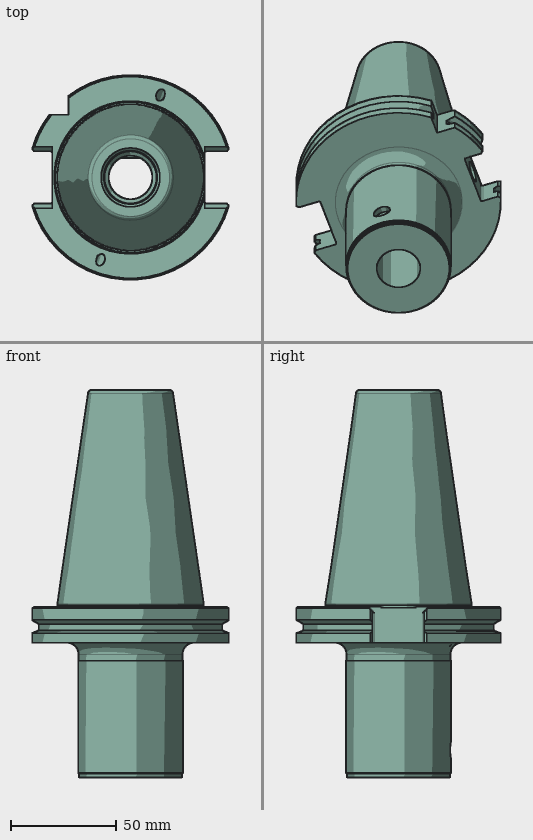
import cadquery as cq
import math

TOTAL_HEIGHT = 184.6
SHANK_DIAMETER = 50.0
SHANK_RADIUS = SHANK_DIAMETER / 2
SHANK_TOP = 55.7
SHANK_STEP = 0.46
SHANK_STEP_HEIGHT = 2.4
SHANK_END_CHAMFER = 0.4
NECK_STEP = 0.2
NECK_RADIUS = SHANK_RADIUS - NECK_STEP
NECK_FILLET = 5.4

FLANGE_RADIUS = 48.7
FLANGE_BOTTOM = 64.2
FLANGE_TOP = 81.5
FLANGE_TOP_CHAMFER = 0.7
GROOVE_ROOT_RADIUS = 45.5
GROOVE_BOTTOM = 68.9
GROOVE_ROOT_BOTTOM = 70.3
GROOVE_FLANK_RADIUS = 46.2
GROOVE_ROOT_BEVEL = 0.5
GROOVE_ROOT_TOP = 73.1
GROOVE_TOP = 75.1

TAPER_BASE = 82.9
TAPER_BASE_RADIUS = 34.9
TAPER_SLOPE = 7 / 24 / 2
TAPER_TIP_FILLET = 1.8
UNDERCUT_TOP = 82.1
UNDERCUT_RADIUS = 34.5
RELIEF_RADIUS = 36.4
RELIEF_DEPTH = 0.5

BORE_RADIUS = 10.3
COUNTERBORE_RADIUS = 12.7
COUNTERBORE_DEPTH = 11.5
COUNTERBORE_CHAMFER = 1.3
COUNTERBORE_STEP_RADIUS = 12.4
COUNTERBORE_STEP_DEPTH = 8.5
FLOOR_CONE_ANGLE = 30.0

SLOT_HALF_WIDTH = 12.4
SLOT_LEFT_FLOOR = 37.3
SLOT_RIGHT_FLOOR = 35.3
SLOT_TOP_CHAMFER = 2.2
SLOT_SIDE_CHAMFER = 1.1
SLOT_FLOOR_FILLET = 0.7

NOTCH_X = 29.5
NOTCH_Y = 29.9

CHIP_RADIUS = 5.0
CHIP_DEPTH = 5.0
CHIP_HEIGHT = 72.2
CHIP_PILOT_RADIUS = 0.7
CHIP_PILOT_DEPTH = 1.8

DUCT_RADIUS = 2.0
DUCT_MOUTH_RADIUS = 41.7
DUCT_ANGLE = 70.0
DUCT_SLOPE = 45.0

SCREW_RADIUS = 4.0
SCREW_HEIGHT = 13.3
SCREW_TIP = 9.2
SCREW_HEAD = 22.2


def make_turned_body():
    """Shank, neck, flange and taper as one revolved outline, without its bore."""
    end_radius = SHANK_RADIUS - SHANK_STEP
    tip_radius = TAPER_BASE_RADIUS - (TOTAL_HEIGHT - TAPER_BASE) * TAPER_SLOPE
    outline = (
        cq.Workplane("XZ")
        .moveTo(0, 0)
        .lineTo(end_radius - SHANK_END_CHAMFER, 0)
        .lineTo(end_radius, SHANK_END_CHAMFER)
        .lineTo(end_radius, SHANK_STEP_HEIGHT - SHANK_STEP)
        .lineTo(SHANK_RADIUS, SHANK_STEP_HEIGHT)
        .lineTo(SHANK_RADIUS, SHANK_TOP)
        .lineTo(NECK_RADIUS, SHANK_TOP)
        .lineTo(NECK_RADIUS, FLANGE_BOTTOM - NECK_FILLET)
        .radiusArc((NECK_RADIUS + NECK_FILLET, FLANGE_BOTTOM), NECK_FILLET)
        .lineTo(FLANGE_RADIUS, FLANGE_BOTTOM)
        .lineTo(FLANGE_RADIUS, GROOVE_BOTTOM)
        .lineTo(GROOVE_FLANK_RADIUS, GROOVE_ROOT_BOTTOM - GROOVE_ROOT_BEVEL)
        .lineTo(GROOVE_ROOT_RADIUS, GROOVE_ROOT_BOTTOM)
        .lineTo(GROOVE_ROOT_RADIUS, GROOVE_ROOT_TOP)
        .lineTo(GROOVE_FLANK_RADIUS, GROOVE_ROOT_TOP + GROOVE_ROOT_BEVEL)
        .lineTo(FLANGE_RADIUS, GROOVE_TOP)
        .lineTo(FLANGE_RADIUS, FLANGE_TOP - FLANGE_TOP_CHAMFER)
        .lineTo(FLANGE_RADIUS - FLANGE_TOP_CHAMFER, FLANGE_TOP)
        .lineTo(RELIEF_RADIUS, FLANGE_TOP)
        .lineTo(RELIEF_RADIUS - RELIEF_DEPTH, FLANGE_TOP - RELIEF_DEPTH)
        .lineTo(UNDERCUT_RADIUS, FLANGE_TOP - RELIEF_DEPTH)
        .lineTo(UNDERCUT_RADIUS, UNDERCUT_TOP)
        .lineTo(TAPER_BASE_RADIUS, UNDERCUT_TOP)
        .lineTo(TAPER_BASE_RADIUS, TAPER_BASE)
        .lineTo(tip_radius, TOTAL_HEIGHT)
        .lineTo(0, TOTAL_HEIGHT)
        .close()
    )
    body = outline.revolve(360, (0, 0, 0), (0, 1, 0))
    return body.faces(">Z").edges().fillet(TAPER_TIP_FILLET)


def make_axial_bore():
    """Through bore with a stepped, cone-bottomed counterbore at the taper tip."""
    floor = TOTAL_HEIGHT - COUNTERBORE_DEPTH
    cone_height = (COUNTERBORE_STEP_RADIUS - BORE_RADIUS) * math.tan(math.radians(FLOOR_CONE_ANGLE))
    return (
        cq.Workplane("XZ")
        .moveTo(0, 0)
        .lineTo(BORE_RADIUS, 0)
        .lineTo(BORE_RADIUS, floor - cone_height)
        .lineTo(COUNTERBORE_STEP_RADIUS, floor)
        .lineTo(COUNTERBORE_STEP_RADIUS, TOTAL_HEIGHT - COUNTERBORE_STEP_DEPTH)
        .lineTo(COUNTERBORE_RADIUS, TOTAL_HEIGHT - COUNTERBORE_STEP_DEPTH)
        .lineTo(COUNTERBORE_RADIUS, TOTAL_HEIGHT - COUNTERBORE_CHAMFER)
        .lineTo(COUNTERBORE_RADIUS + COUNTERBORE_CHAMFER, TOTAL_HEIGHT)
        .lineTo(0, TOTAL_HEIGHT)
        .close()
        .revolve(360, (0, 0, 0), (0, 1, 0))
    )


def make_drive_slot(side, floor):
    """Slot cutter on the side given by side = -1 or +1, with flared top and outer edges."""
    height = FLANGE_TOP - FLANGE_BOTTOM
    mid_x = side * (floor + FLANGE_RADIUS) / 2
    slot = (
        cq.Workplane("XY", origin=(mid_x, 0, FLANGE_BOTTOM))
        .rect(FLANGE_RADIUS - floor, 2 * SLOT_HALF_WIDTH)
        .extrude(height)
        .edges("|Z")
        .edges("<X" if side > 0 else ">X")
        .fillet(SLOT_FLOOR_FILLET)
    )
    flare_width = SLOT_HALF_WIDTH + SLOT_TOP_CHAMFER
    top_flare = (
        cq.Workplane("YZ", origin=(side * floor, 0, 0))
        .moveTo(-flare_width, FLANGE_TOP)
        .lineTo(flare_width, FLANGE_TOP)
        .lineTo(0, FLANGE_TOP - flare_width)
        .close()
        .extrude(side * (FLANGE_RADIUS - floor))
    )
    corner_y = SLOT_HALF_WIDTH + SLOT_SIDE_CHAMFER
    corner_x = math.sqrt(FLANGE_RADIUS**2 - corner_y**2)
    side_flare = (
        cq.Workplane("XY", origin=(0, 0, FLANGE_BOTTOM))
        .moveTo(side * corner_x, -corner_y)
        .lineTo(side * FLANGE_RADIUS, -corner_y)
        .lineTo(side * FLANGE_RADIUS, corner_y)
        .lineTo(side * corner_x, corner_y)
        .lineTo(side * (corner_x - SLOT_SIDE_CHAMFER), SLOT_HALF_WIDTH)
        .lineTo(side * (corner_x - SLOT_SIDE_CHAMFER), -SLOT_HALF_WIDTH)
        .close()
        .extrude(height)
    )
    return slot.union(top_flare).union(side_flare)


def make_orientation_notch():
    return (
        cq.Workplane("XY", origin=(0, 0, FLANGE_BOTTOM))
        .moveTo(-NOTCH_X, NOTCH_Y)
        .lineTo(-NOTCH_X, FLANGE_RADIUS)
        .lineTo(-FLANGE_RADIUS, FLANGE_RADIUS)
        .lineTo(-FLANGE_RADIUS, NOTCH_Y)
        .close()
        .extrude(FLANGE_TOP - FLANGE_BOTTOM)
    )


def make_chip_pocket():
    floor = cq.Workplane("YZ", origin=(-SLOT_LEFT_FLOOR, 0, CHIP_HEIGHT))
    pocket = floor.circle(CHIP_RADIUS).extrude(CHIP_DEPTH)
    return pocket.union(floor.circle(CHIP_PILOT_RADIUS).extrude(CHIP_DEPTH + CHIP_PILOT_DEPTH))


def make_coolant_duct(angle):
    """Duct from the flange top face down and inward to the axis, at an angle about Z."""
    slope = math.radians(DUCT_SLOPE)
    length = DUCT_MOUTH_RADIUS / math.cos(slope)
    inward = cq.Vector(-math.cos(slope), 0, -math.sin(slope))
    mouth = cq.Vector(DUCT_MOUTH_RADIUS, 0, FLANGE_TOP)
    start = mouth - inward * (2 * DUCT_RADIUS)
    duct = cq.Solid.makeCylinder(DUCT_RADIUS, length + 2 * DUCT_RADIUS, start, inward)
    return cq.Workplane(duct).rotate((0, 0, 0), (0, 0, 1), angle)


def make_screw_cylinder(outer_end):
    """Cylinder along Y from the screw tip in the bore to outer_end; cuts the hole and forms the screw."""
    return (
        cq.Workplane("XZ", origin=(0, SCREW_TIP, SCREW_HEIGHT))
        .circle(SCREW_RADIUS)
        .extrude(SCREW_TIP - outer_end)
    )


def make_holder():
    body = make_turned_body()
    body = body.cut(make_axial_bore())
    body = body.cut(make_drive_slot(-1, SLOT_LEFT_FLOOR))
    body = body.cut(make_drive_slot(1, SLOT_RIGHT_FLOOR))
    body = body.cut(make_orientation_notch())
    body = body.cut(make_chip_pocket())
    for angle in (DUCT_ANGLE, DUCT_ANGLE + 180):
        body = body.cut(make_coolant_duct(angle))
    return body.cut(make_screw_cylinder(SHANK_RADIUS))


holder = make_holder().solids()
screw = make_screw_cylinder(SCREW_HEAD)
result = cq.Compound.makeCompound([holder.val(), screw.val()])